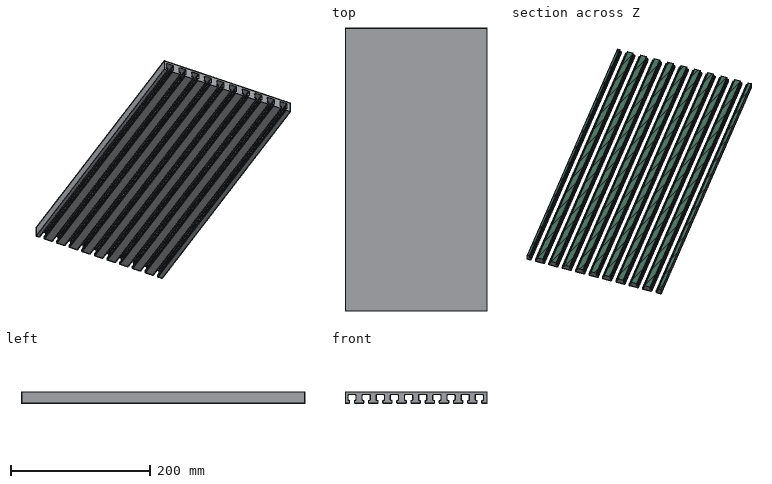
import cadquery as cq

plate_width = 203.0
plate_length = 406.3
plate_height = 16.3

slot_count = 10
slot_pitch = plate_width / slot_count
slot_offset = -1.0
channel_width = 11.5
mouth_width = 6.5
lip_height = 4.0
top_skin = 3.5
slot_chamfer = 1.0


def full_length_bar(outline):
    """Extrude a closed XZ outline along the whole plate, centred on Y."""
    return outline.extrude(plate_length / 2, both=True)


def plate():
    """Plain rectangular plate standing on Z = 0."""
    outline = cq.Workplane("XZ").center(0, plate_height / 2).rect(plate_width, plate_height)
    return full_length_bar(outline)


def channel(center_x):
    """Wide inner part of a slot, with its four long corners chamfered."""
    channel_height = plate_height - top_skin - lip_height
    center_z = lip_height + channel_height / 2
    outline = cq.Workplane("XZ").center(center_x, center_z).rect(channel_width, channel_height)
    return full_length_bar(outline).edges("|Y").chamfer(slot_chamfer)


def mouth(center_x):
    """Narrow opening between two lips that are chamfered above and below."""
    throat = mouth_width / 2
    flare = throat + slot_chamfer
    right_side = [
        (flare, 0),
        (throat, slot_chamfer),
        (throat, lip_height - slot_chamfer),
        (flare, lip_height),
    ]
    left_side = [(-x, z) for x, z in reversed(right_side)]
    outline = cq.Workplane("XZ").center(center_x, 0).polyline(right_side + left_side).close()
    return full_length_bar(outline)


result = plate()

for index in range(slot_count):
    slot_x = (index - (slot_count - 1) / 2) * slot_pitch + slot_offset
    result = result.cut(channel(slot_x)).cut(mouth(slot_x))